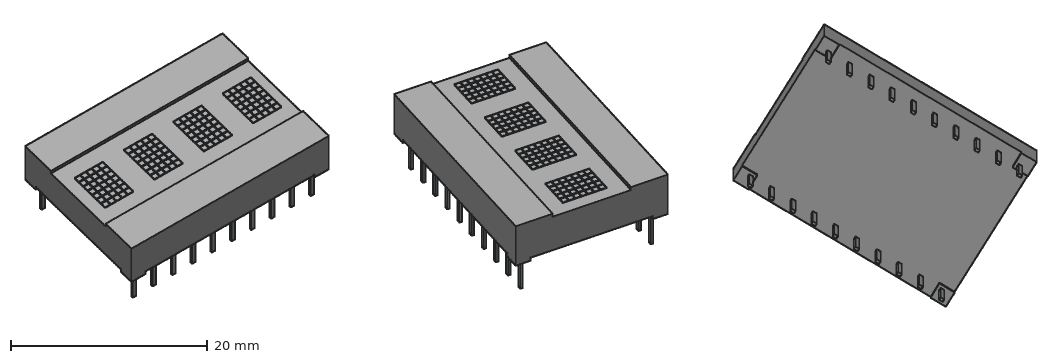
import cadquery as cq

body_width = 17.78
body_length = 25.4
body_height = 5.08

channel_width = 9.15
channel_depth = 0.38

foot_width = 1.75
foot_length = 1.83
foot_height = 0.38

pin_rows = 2
pins_per_row = 10
row_spacing = 15.25
pin_pitch = 2.55
pin_thickness = 0.3
pin_width = 0.45
pin_drop = 4.06

character_count = 4
character_pitch = 6.35
character_offset_y = 0.13
dot_columns = 7
dot_rows = 5
dot_pitch = 0.74
dot_size = 0.69
dot_height = 0.1

channel_floor = body_height - channel_depth


def make_body():
    """Block with a lengthwise channel on top and a cross-shaped relief underneath."""
    on_base = (True, True, False)
    body = cq.Workplane("XY").box(body_width, body_length, body_height, centered=on_base)
    channel = (
        cq.Workplane("XY", origin=(0, 0, channel_floor))
        .box(channel_width, body_length, channel_depth, centered=on_base)
    )
    relief_lengthwise = cq.Workplane("XY").box(
        body_width - 2 * foot_width, body_length, foot_height, centered=on_base
    )
    relief_crosswise = cq.Workplane("XY").box(
        body_width, body_length - 2 * foot_length, foot_height, centered=on_base
    )
    return body.cut(channel).cut(relief_lengthwise).cut(relief_crosswise)


def make_pins():
    """Pins running from their tips up to the relieved underside of the body."""
    return (
        cq.Workplane("XY", origin=(0, 0, -pin_drop))
        .rarray(row_spacing, pin_pitch, pin_rows, pins_per_row)
        .rect(pin_thickness, pin_width)
        .extrude(pin_drop + foot_height)
    )


def make_character(center_y):
    """Grid of raised dots on the channel floor."""
    return (
        cq.Workplane("XY", origin=(0, center_y, channel_floor))
        .rarray(dot_pitch, dot_pitch, dot_columns, dot_rows)
        .rect(dot_size, dot_size)
        .extrude(dot_height)
    )


result = make_body().union(make_pins())
for index in range(character_count):
    steps_from_middle = index - (character_count - 1) / 2
    result = result.union(make_character(character_offset_y + steps_from_middle * character_pitch))